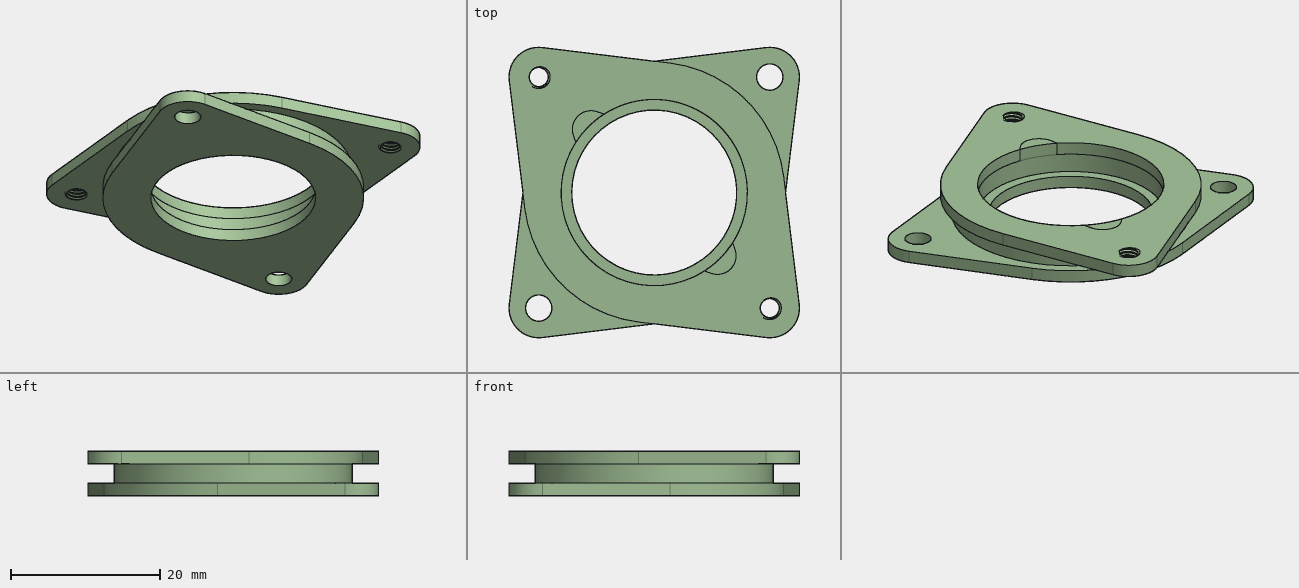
import cadquery as cq
import math


plate_thickness = 1.7
hole_offset = 15.5
corner_radius = 4.0
waist_radius = 17.5
clearance_hole_diameter = 3.5
upper_bore_diameter = 25.0
lower_bore_diameter = 22.1
upper_tilt = -45
lower_tilt = 45

ring_height = 2.6
ring_outer_diameter = 32.0
ring_bore_diameter = upper_bore_diameter
ear_radius = 2.5
ear_distance = 12.0
ear_flank_angle = 26
ear_root = 10.0

thread_minor_diameter = 2.53
thread_major_diameter = 3.09
thread_pitch = 0.5
groove_mouth_width = 0.42
groove_floor_width = 0.08
groove_overlap = 0.05
groove_turns = 5

ring_base = plate_thickness
upper_base = ring_base + ring_height

hole_distance = hole_offset * math.sqrt(2)


def polar(radius, angle, centre_x=0.0):
    """Point at an angle (radians) on a circle centred on the X axis."""
    return (centre_x + radius * math.cos(angle), radius * math.sin(angle))


def diamond_plate(bore_diameter):
    """Plate with its long diagonal along X: three circles joined by tangents."""
    tangent = math.acos((waist_radius - corner_radius) / hole_distance)
    return (
        cq.Workplane("XY")
        .moveTo(*polar(waist_radius, tangent))
        .lineTo(*polar(corner_radius, tangent, hole_distance))
        .threePointArc(
            (hole_distance + corner_radius, 0),
            polar(corner_radius, -tangent, hole_distance),
        )
        .lineTo(*polar(waist_radius, -tangent))
        .threePointArc((0, -waist_radius), polar(waist_radius, tangent - math.pi))
        .lineTo(*polar(corner_radius, tangent - math.pi, -hole_distance))
        .threePointArc(
            (-hole_distance - corner_radius, 0),
            polar(corner_radius, math.pi - tangent, -hole_distance),
        )
        .lineTo(*polar(waist_radius, math.pi - tangent))
        .threePointArc((0, waist_radius), polar(waist_radius, tangent))
        .close()
        .extrude(plate_thickness)
        .cut(cylinder(bore_diameter, plate_thickness))
    )


def cylinder(diameter, height):
    return cq.Workplane("XY").circle(diameter / 2).extrude(height)


def corner_points(tilt):
    """The two hole centres on the diagonal with the given tilt."""
    x, y = polar(hole_distance, math.radians(tilt))
    return [(x, y), (-x, -y)]


def thread_groove():
    """Helical groove around the Z axis that runs out through both plate faces."""
    minor_radius = thread_minor_diameter / 2
    major_radius = thread_major_diameter / 2
    inner_radius = minor_radius - groove_overlap
    groove_length = groove_turns * thread_pitch
    groove_base = plate_thickness + thread_pitch - groove_length
    helix = cq.Wire.makeHelix(thread_pitch, groove_length, minor_radius)
    return (
        cq.Workplane("XZ")
        .moveTo(inner_radius, -groove_mouth_width / 2)
        .lineTo(major_radius, -groove_floor_width / 2)
        .lineTo(major_radius, groove_floor_width / 2)
        .lineTo(inner_radius, groove_mouth_width / 2)
        .close()
        .sweep(cq.Workplane(helix), isFrenet=True)
        .translate((0, 0, groove_base))
    )


def ear():
    """Ear along +X: round tip with flanks that spread towards the ring axis."""
    tangent = math.radians(90 - ear_flank_angle)
    tip_x, tip_y = polar(ear_radius, tangent, ear_distance)
    root_y = tip_y + (tip_x - ear_root) * math.tan(math.radians(ear_flank_angle))
    return (
        cq.Workplane("XY")
        .moveTo(ear_root, -root_y)
        .lineTo(tip_x, -tip_y)
        .threePointArc((ear_distance + ear_radius, 0), (tip_x, tip_y))
        .lineTo(ear_root, root_y)
        .close()
        .extrude(plate_thickness)
        .cut(cylinder(ring_bore_diameter, plate_thickness))
    )


def both_ears():
    """The two opposite ears, in place inside the upper plate."""
    first = ear().rotate((0, 0, 0), (0, 0, 1), upper_tilt)
    second = first.rotate((0, 0, 0), (0, 0, 1), 180)
    return [piece.translate((0, 0, upper_base)) for piece in (first, second)]


def build_lower_plate():
    plate = diamond_plate(lower_bore_diameter).rotate((0, 0, 0), (0, 0, 1), lower_tilt)
    for x, y in corner_points(lower_tilt):
        plate = plate.cut(cylinder(clearance_hole_diameter, plate_thickness).translate((x, y, 0)))
    return plate


def build_rubber_ring():
    ring = (
        cylinder(ring_outer_diameter, ring_height)
        .cut(cylinder(ring_bore_diameter, ring_height))
        .translate((0, 0, ring_base))
    )
    for piece in both_ears():
        ring = ring.union(piece)
    return ring


def build_upper_plate():
    plate = (
        diamond_plate(upper_bore_diameter)
        .rotate((0, 0, 0), (0, 0, 1), upper_tilt)
        .translate((0, 0, upper_base))
    )
    for piece in both_ears():
        plate = plate.cut(piece)
    thread_tools = [thread_groove(), cylinder(thread_minor_diameter, plate_thickness)]
    for x, y in corner_points(upper_tilt):
        for tool in thread_tools:
            plate = plate.cut(tool.translate((x, y, upper_base)))
    return plate


lower_plate = build_lower_plate()
rubber_ring = build_rubber_ring()
upper_plate = build_upper_plate()

result = cq.Compound.makeCompound([body.solids().val() for body in (lower_plate, rubber_ring, upper_plate)])